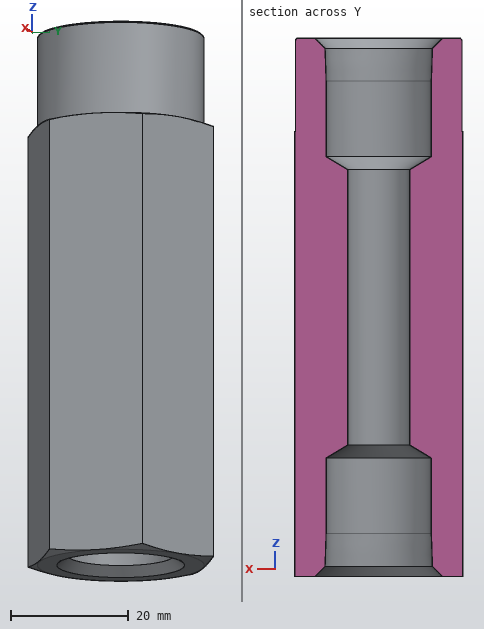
import cadquery as cq
import math

total_length = 91.4
collar_length = 15.8
collar_diameter = 28.35
collar_edge_chamfer = 0.3
hex_across_corners = 33.0
hex_length = total_length - collar_length

bevel_start_radius = collar_diameter / 2
bevel_angle = 15.0
bevel_overrun = 0.9

bore_diameter = 10.5
socket_diameter = 17.8
socket_depth = 20.1
mouth_diameter = 21.7
taper_start_diameter = 18.2
taper_end_depth = 7.3
drill_point_angle = 118.0

mid_plane_height = total_length / 2


def hexagon_body():
    """Hexagonal prism with its corners toward +Y and -Y and both ends bevelled."""
    prism = (
        cq.Workplane("XY")
        .polygon(6, hex_across_corners)
        .extrude(hex_length)
        .rotate((0, 0, 0), (0, 0, 1), 90)
    )
    envelope_radius = hex_across_corners / 2 + bevel_overrun
    bevel_drop = (envelope_radius - bevel_start_radius) * math.tan(math.radians(bevel_angle))
    envelope = (
        cq.Workplane("XZ")
        .moveTo(0, 0)
        .lineTo(bevel_start_radius, 0)
        .lineTo(envelope_radius, bevel_drop)
        .lineTo(envelope_radius, hex_length - bevel_drop)
        .lineTo(bevel_start_radius, hex_length)
        .lineTo(0, hex_length)
        .close()
        .revolve(360, (0, 0, 0), (0, 1, 0))
    )
    return prism.intersect(envelope)


def collar():
    """Round collar standing on the hexagon."""
    return (
        cq.Workplane("XY")
        .workplane(offset=hex_length)
        .circle(collar_diameter / 2)
        .extrude(collar_length)
        .faces(">Z")
        .chamfer(collar_edge_chamfer)
    )


def socket_cavity():
    """Cavity from the top face: 45 degree mouth, slight taper, straight bore, drill point."""
    mouth_depth = (mouth_diameter - taper_start_diameter) / 2
    point_depth = (socket_diameter - bore_diameter) / 2 / math.tan(math.radians(drill_point_angle / 2))
    point_end = total_length - socket_depth - point_depth
    return (
        cq.Workplane("XZ")
        .moveTo(0, total_length)
        .lineTo(mouth_diameter / 2, total_length)
        .lineTo(taper_start_diameter / 2, total_length - mouth_depth)
        .lineTo(socket_diameter / 2, total_length - taper_end_depth)
        .lineTo(socket_diameter / 2, total_length - socket_depth)
        .lineTo(bore_diameter / 2, point_end)
        .lineTo(0, point_end)
        .close()
        .revolve(360, (0, 0, 0), (0, 1, 0))
    )


upper_cavity = socket_cavity()
lower_cavity = upper_cavity.mirror("XY", (0, 0, mid_plane_height))
through_bore = cq.Workplane("XY").circle(bore_diameter / 2).extrude(total_length)

result = hexagon_body().union(collar())
for cavity in (upper_cavity, lower_cavity, through_bore):
    result = result.cut(cavity)